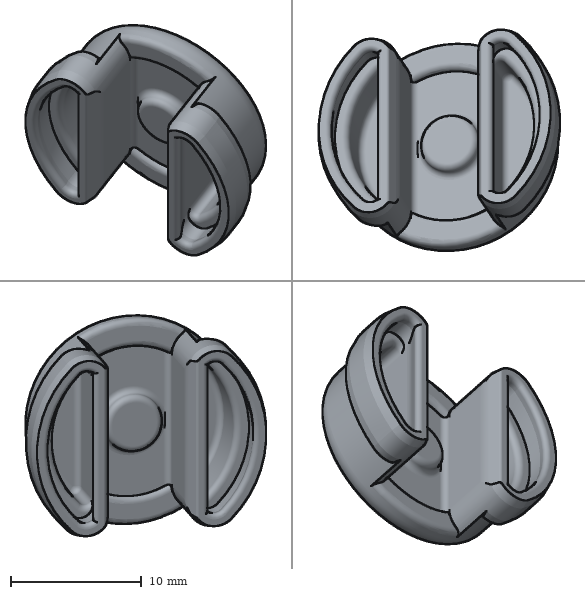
import cadquery as cq
import math


cap_radius = 8.2
cap_back_round = 1.5
blend = 0.5
floor_depth = 2.0
rim_depth = floor_depth + blend
rim_inner_radius = 6.5

boss_radius = 2.25
boss_depth = rim_depth + blend

total_depth = 8.05
lug_radius = 9.25
channel_half_width = 3.05
lug_corner = 2.0
lug_back_depth = 4.83
lug_full_depth = 5.55
lug_front_taper_depth = 7.25
lug_taper = 15.0
slope_start_depth = 6.7
slope_angle = 22.0
slope_bend_round = 2.0
slope_tip_round = 0.24

wall = 1.0
pocket_opening_round = 0.39
ledge_depth = 5.83
leg_wall = 1.02
lower_pocket_radius = cap_radius - leg_wall
lower_pocket_corner = 0.52

boss_root = 0.92
reach = 2 * lug_radius


def depth_plane(depth):
    """Sketch plane at a depth, local x = X, local y = Z, extruding toward the front."""
    return cq.Workplane("XZ", origin=(0, -depth, 0))


def segment_prism(radius, flat_x, corner, start, end, taper=0.0):
    """Disc segment beyond x = flat_x with rounded corners, extruded between two depths."""
    center_x = flat_x + corner
    center_distance = radius - corner
    corner_z = math.sqrt(center_distance**2 - center_x**2)
    stretch = radius / center_distance
    tangent = (center_x * stretch, corner_z * stretch)
    middle_angle = (math.pi + math.atan2(corner_z, center_x)) / 2
    corner_middle = (
        center_x + corner * math.cos(middle_angle),
        corner_z + corner * math.sin(middle_angle),
    )
    outline = (
        depth_plane(start)
        .moveTo(flat_x, -corner_z)
        .lineTo(flat_x, corner_z)
        .threePointArc(corner_middle, tangent)
        .threePointArc((radius, 0), (tangent[0], -tangent[1]))
        .threePointArc((corner_middle[0], -corner_middle[1]), (flat_x, -corner_z))
        .close()
    )
    return outline.extrude(end - start, taper=taper)


def near(point):
    """Selector for the edge closest to a point."""
    return cq.selectors.NearestToPointSelector(point)


def beside_channel(offset):
    """Everything outside the channel wall, moved into the material by an offset."""
    angle = math.radians(slope_angle)
    wall_x = channel_half_width + offset
    bend_depth = slope_start_depth - offset * math.tan(angle / 2)
    front_x = wall_x + (total_depth - bend_depth) * math.tan(angle)
    profile = [
        (wall_x, 0),
        (wall_x, -bend_depth),
        (front_x, -total_depth),
        (reach, -total_depth),
        (reach, 0),
    ]
    solid = cq.Workplane("XY").polyline(profile).close().extrude(reach, both=True)
    bend = solid.edges(near((wall_x, -bend_depth, 0)))
    return bend.fillet(slope_bend_round)


def quarter_arc(sketch, center, start_angle, end_angle):
    """Add a round of the blend radius that runs between two angles in degrees."""
    def at(angle):
        turn = math.radians(angle)
        return (center[0] + blend * math.cos(turn), center[1] + blend * math.sin(turn))
    return sketch.threePointArc(at((start_angle + end_angle) / 2), at(end_angle))


def make_cap():
    disc = depth_plane(0).circle(cap_radius).extrude(rim_depth)
    return disc.faces(">Y").edges().fillet(cap_back_round).faces("<Y").edges().fillet(blend)


def make_channel_recess():
    """Sunken channel floor with a rounded rim, blended into the channel walls."""
    rim_start = rim_inner_radius - blend
    dish = cq.Workplane("XY").moveTo(0, -floor_depth).lineTo(rim_start, -floor_depth)
    dish = quarter_arc(dish, (rim_inner_radius, -floor_depth), 180, 270)
    dish = dish.lineTo(rim_inner_radius, -total_depth).lineTo(0, -total_depth).close()
    dish = dish.revolve(360, (0, 0, 0), (0, 1, 0))
    trough = depth_plane(floor_depth).rect(2 * channel_half_width, reach).extrude(total_depth)
    trough = trough.faces(">Y").edges("|Z").fillet(blend)
    return dish.intersect(trough)


def make_boss():
    """Round boss flared at its base and rounded at its top."""
    foot = boss_radius + blend
    boss = cq.Workplane("XY").moveTo(0, -floor_depth + boss_root).lineTo(foot, -floor_depth + boss_root)
    boss = boss.lineTo(foot, -floor_depth)
    boss = quarter_arc(boss, (foot, -rim_depth), 90, 180)
    boss = quarter_arc(boss, (boss_radius - blend, -rim_depth), 0, -90)
    boss = boss.lineTo(0, -boss_depth).close()
    return boss.revolve(360, (0, 0, 0), (0, 1, 0))


def lug_prism(start, end, taper=0.0):
    """Full lug outline extruded between two depths."""
    return segment_prism(lug_radius, channel_half_width, lug_corner, start, end, taper)


def make_lug():
    """Leg that rises from the cap and widens into a lug tapered at both ends."""
    leg = lug_prism(cap_back_round, lug_full_depth)
    leg = leg.intersect(depth_plane(0).circle(cap_radius).extrude(total_depth))
    middle = lug_prism(lug_full_depth, lug_front_taper_depth)
    front = lug_prism(lug_front_taper_depth, total_depth, lug_taper)
    back = lug_prism(0, lug_full_depth - lug_back_depth, lug_taper)
    back = back.mirror("XZ").translate((0, -lug_full_depth, 0))
    lug = leg.union(back).union(middle).union(front)
    lug = lug.intersect(beside_channel(0))
    return lug.faces("<Y").edges("|Z").edges("<X").fillet(slope_tip_round)


def make_pocket():
    """Pocket that follows the lug walls, with a narrower lower part inside the leg."""
    flat_x = channel_half_width + wall
    taper_depth = lug_front_taper_depth - wall * math.tan(math.radians(lug_taper / 2))
    outline = (lug_radius - wall, flat_x, lug_corner - wall)
    upper = segment_prism(*outline, floor_depth, taper_depth)
    upper = upper.union(segment_prism(*outline, taper_depth, total_depth, lug_taper))
    upper = upper.intersect(beside_channel(wall))
    lower = segment_prism(
        lower_pocket_radius, flat_x, lower_pocket_corner, floor_depth, ledge_depth
    )
    lower = lower.faces(">Y").edges().fillet(blend)
    above_ledge = depth_plane(ledge_depth).rect(2 * reach, 2 * reach).extrude(total_depth)
    stepped = lower.union(above_ledge)
    ledge_edge = stepped.edges(near((lower_pocket_radius, -ledge_depth, 0)))
    return upper.intersect(ledge_edge.fillet(blend))


def make_hollow_lug():
    lug = make_lug().cut(make_pocket())
    opening = lug.faces("<Y").val().innerWires()[0].Edges()
    return lug.newObject(opening).fillet(pocket_opening_round)


def both_sides(solid):
    return solid.union(solid.mirror("YZ"))


cap = make_cap().cut(make_channel_recess()).cut(both_sides(make_pocket()))
result = cap.union(make_boss()).union(both_sides(make_hollow_lug()))